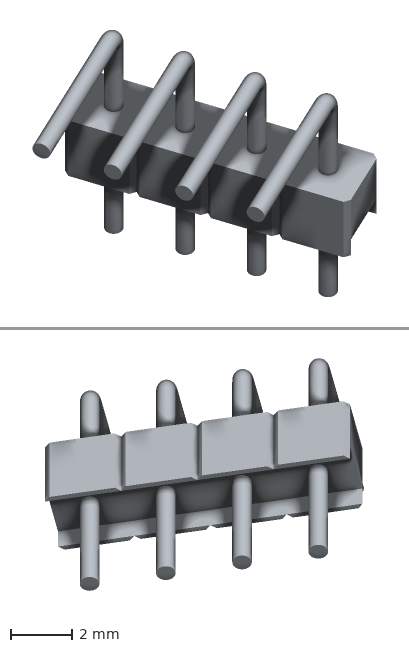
import cadquery as cq
import math

unit_count = 4
row_length = 10.16
pitch = row_length / unit_count

block_depth = 2.5
block_height = 2.5
corner_chamfer = 0.18
channel_height = 0.7
channel_width = block_depth - 2 * corner_chamfer

pin_diameter = 0.64
pin_radius = pin_diameter / 2
bend_radius = 0.41
pin_below_block = 3.0
pin_above_block = 3.51
overall_depth = 7.25

pin_bottom_z = -pin_below_block
pin_arm_z = block_height + pin_above_block - pin_radius
pin_tip_y = block_depth / 2 - overall_depth


def make_block():
    """Block with chamfered vertical edges and a channel along X in its underside."""
    block = (
        cq.Workplane("XY")
        .rect(pitch, block_depth)
        .extrude(block_height)
        .edges("|Z")
        .chamfer(corner_chamfer)
    )
    channel = cq.Workplane("XY").rect(pitch, channel_width).extrude(channel_height)
    return block.cut(channel)


def make_pin():
    """Round pin that rises along Z and bends through a right angle toward -Y."""
    bend_start_z = pin_arm_z - bend_radius
    bend_middle_offset = bend_radius * math.cos(math.radians(45))
    bend_middle = (bend_middle_offset - bend_radius, bend_start_z + bend_middle_offset)
    centreline = (
        cq.Workplane("YZ")
        .moveTo(0, pin_bottom_z)
        .lineTo(0, bend_start_z)
        .threePointArc(bend_middle, (-bend_radius, pin_arm_z))
        .lineTo(pin_tip_y, pin_arm_z)
    )
    return (
        cq.Workplane("XY")
        .workplane(offset=pin_bottom_z)
        .circle(pin_radius)
        .sweep(centreline)
    )


def make_header_unit(center_x):
    """One block and its pin as a single solid, centred at the given X."""
    return make_block().union(make_pin()).translate((center_x, 0, 0))


header_units = []
for index in range(unit_count):
    unit_x = (index - (unit_count - 1) / 2) * pitch
    header_units.append(make_header_unit(unit_x).val())

result = cq.Compound.makeCompound(
    [solid for unit in header_units for solid in unit.Solids()]
)